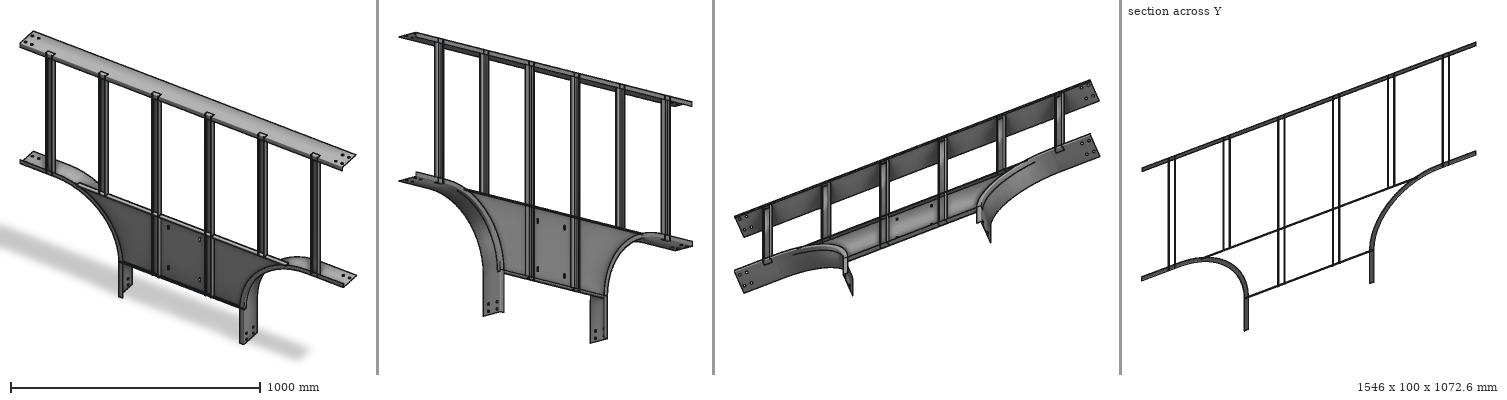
import cadquery as cq
import math


SHEET = 1.5
RAIL_HEIGHT = 100.0
RAIL_FLANGE = 20.0
BEND_OUTSIDE = 2.5
BEND_INSIDE = BEND_OUTSIDE - SHEET

TRAY_WIDTH = 600.0
BEND_RADIUS = 300.0
SIDE_STUB = 171.5
RIGHT_STUB_EXTRA = 3.0
BRANCH_STUB = 172.6

HALF_BRANCH = TRAY_WIDTH / 2
BEND_END_X = HALF_BRANCH + BEND_RADIUS
RAIL_END_X = BEND_END_X + SIDE_STUB
RAIL_TOP_Z = 0.0
LOWER_RAIL_Z = RAIL_TOP_Z - TRAY_WIDTH
BEND_END_Z = LOWER_RAIL_Z - BEND_RADIUS
BRANCH_END_Z = BEND_END_Z - BRANCH_STUB

SPLICE_DIAMETER = 10.0
SPLICE_SETBACKS = (15.0, 45.0)
SPLICE_HEIGHTS = (20.0, 70.0)

RUNG_WIDTH = 36.0
RUNG_DEPTH = 18.5
RUNG_LIP = 6.0
RUNG_PITCH = 253.5
RUNG_COUNT = 6
RUNG_MIDDLE_X = RIGHT_STUB_EXTRA / 2
RUNG_FRONT_Y = SHEET
RUNG_BACK_Y = RUNG_FRONT_Y + RUNG_DEPTH

PLATE_OVERHANG = 3.5
PLATE_LIP = 8.0
PLATE_TOP_HALF = 500.0
PLATE_TOP_Z = LOWER_RAIL_Z + PLATE_OVERHANG
PLATE_BOTTOM_Z = BEND_END_Z - PLATE_OVERHANG
PLATE_BACK_Y = RUNG_BACK_Y
PLATE_FRONT_Y = RUNG_FRONT_Y + SHEET

SLOT_WIDTH = 7.0
SLOT_LENGTH = 20.0
SLOT_SPACING_X = 150.0
SLOT_SPACING_Z = 200.0
SLOT_MIDDLE_X = RUNG_MIDDLE_X
SLOT_MIDDLE_Z = (PLATE_TOP_Z + PLATE_BOTTOM_Z) / 2


def block(x_range, y_range, z_range):
    """Axis-aligned box between the given limits."""
    sizes = [high - low for low, high in (x_range, y_range, z_range)]
    corner = (x_range[0], y_range[0], z_range[0])
    return cq.Workplane("XY").box(*sizes, centered=False).translate(corner)


def rail_section(end_x, outer_z, flange_side):
    """L section in the YZ plane at the left rail end, its bend rounded at the front outer corner.

    flange_side is +1 for a flange rising from the web and -1 for one hanging from it.
    """
    plane = cq.Plane(origin=(-end_x, 0, outer_z), xDir=(0, 1, 0), normal=(1, 0, 0))
    return (
        cq.Workplane(plane)
        .moveTo(RAIL_HEIGHT, 0)
        .lineTo(BEND_OUTSIDE, 0)
        .radiusArc((0, flange_side * BEND_OUTSIDE), flange_side * BEND_OUTSIDE)
        .lineTo(0, flange_side * RAIL_FLANGE)
        .lineTo(SHEET, flange_side * RAIL_FLANGE)
        .lineTo(SHEET, flange_side * BEND_OUTSIDE)
        .radiusArc((BEND_OUTSIDE, flange_side * SHEET), -flange_side * BEND_INSIDE)
        .lineTo(RAIL_HEIGHT, flange_side * SHEET)
        .close()
    )


def through_rail():
    """Straight rail along the top, its flange hanging down at the front."""
    return rail_section(RAIL_END_X, RAIL_TOP_Z, -1).extrude(2 * RAIL_END_X)


def bent_rail(end_x):
    """Left rail from the side opening, starting at -end_x, round into the branch."""
    arc_reach = BEND_RADIUS * math.sqrt(0.5)
    path = (
        cq.Workplane("XZ")
        .moveTo(-end_x, LOWER_RAIL_Z)
        .lineTo(-BEND_END_X, LOWER_RAIL_Z)
        .threePointArc(
            (-BEND_END_X + arc_reach, BEND_END_Z + arc_reach),
            (-HALF_BRANCH, BEND_END_Z),
        )
        .lineTo(-HALF_BRANCH, BRANCH_END_Z)
    )
    return rail_section(end_x, LOWER_RAIL_Z, 1).sweep(path)


def lipped_channel(width, depth, lip, length):
    """Channel along Z from Z = 0, centred on X, with its lips and open mouth at Y = 0."""
    half = width / 2
    outside = block((-half, half), (0, depth), (0, length))
    outside = outside.edges("|Z and <Y").fillet(BEND_OUTSIDE)
    hollow = block((SHEET - half, half - SHEET), (SHEET, depth - SHEET), (0, length))
    hollow = hollow.edges("|Z and <Y").fillet(BEND_INSIDE)
    mouth = block((lip - half, half - lip), (0, depth - SHEET), (0, length))
    return outside.cut(hollow).cut(mouth)


def rungs():
    """All rungs: the outer two end on the side stubs, the next at the plate top, the rest at its bottom."""
    bottoms = (LOWER_RAIL_Z, PLATE_TOP_Z - SHEET, PLATE_BOTTOM_Z)
    bodies = []
    for index in range(RUNG_COUNT):
        x = RUNG_MIDDLE_X + (index - (RUNG_COUNT - 1) / 2) * RUNG_PITCH
        bottom_z = bottoms[min(index, RUNG_COUNT - 1 - index)]
        channel = lipped_channel(RUNG_WIDTH, RUNG_DEPTH, RUNG_LIP, RAIL_TOP_Z - bottom_z)
        bodies.append(channel.translate((x, RUNG_FRONT_Y, bottom_z)))
    return bodies


def gusset_plate():
    """Lipped channel lying across the branch, its ends cut to the bends."""
    height = PLATE_TOP_Z - PLATE_BOTTOM_Z
    length = 2 * BEND_END_X
    body = lipped_channel(height, PLATE_BACK_Y - PLATE_FRONT_Y, PLATE_LIP, length)
    body = body.rotate((0, 0, 0), (0, 1, 0), 90)
    body = body.translate((-BEND_END_X, PLATE_FRONT_Y, PLATE_BOTTOM_Z + height / 2))
    y_range = (0, RAIL_HEIGHT)
    for side in (-1, 1):
        inside_bend = (
            cq.Workplane("XZ")
            .center(side * BEND_END_X, BEND_END_Z)
            .circle(BEND_RADIUS)
            .extrude(-RAIL_HEIGHT)
        )
        beside_branch = block(
            sorted((side * HALF_BRANCH, side * BEND_END_X)), y_range, (BRANCH_END_Z, BEND_END_Z)
        )
        above_stub = block(
            sorted((side * PLATE_TOP_HALF, side * BEND_END_X)),
            y_range,
            (LOWER_RAIL_Z - PLATE_LIP, PLATE_TOP_Z),
        )
        body = body.cut(inside_bend).cut(beside_branch).cut(above_stub)
    return body


def plate_slots():
    """Cutters for the four upright slots in the plate."""
    slots = cq.Workplane("XZ", origin=(SLOT_MIDDLE_X, 0, SLOT_MIDDLE_Z))
    slots = slots.rarray(SLOT_SPACING_X, SLOT_SPACING_Z, 2, 2)
    return slots.slot2D(SLOT_LENGTH, SLOT_WIDTH, 90).extrude(-RAIL_HEIGHT)


def upright_holes(end_x, side, middle_z):
    """Splice hole cutters along Z through the web of a horizontal rail, at one of its ends."""
    centres = [(side * (end_x - setback), y) for setback in SPLICE_SETBACKS for y in SPLICE_HEIGHTS]
    drill = cq.Workplane("XY", origin=(0, 0, middle_z)).pushPoints(centres)
    return drill.circle(SPLICE_DIAMETER / 2).extrude(SHEET, both=True)


def branch_holes():
    """Splice hole cutters along X through both branch rail ends."""
    centres = [(y, BRANCH_END_Z + setback) for setback in SPLICE_SETBACKS for y in SPLICE_HEIGHTS]
    drill = cq.Workplane("YZ").pushPoints(centres)
    return drill.circle(SPLICE_DIAMETER / 2).extrude(HALF_BRANCH, both=True)


def build():
    """Join rails, plate and rungs, then cut the holes."""
    left_end = RAIL_END_X
    right_end = RAIL_END_X + RIGHT_STUB_EXTRA
    body = through_rail().union(bent_rail(left_end)).union(bent_rail(right_end).mirror("YZ"))
    body = body.union(gusset_plate())
    for member in rungs():
        body = body.union(member)
    for side, lower_end in ((-1, left_end), (1, right_end)):
        body = body.cut(upright_holes(RAIL_END_X, side, RAIL_TOP_Z - SHEET / 2))
        body = body.cut(upright_holes(lower_end, side, LOWER_RAIL_Z + SHEET / 2))
    return body.cut(plate_slots()).cut(branch_holes())


result = build()